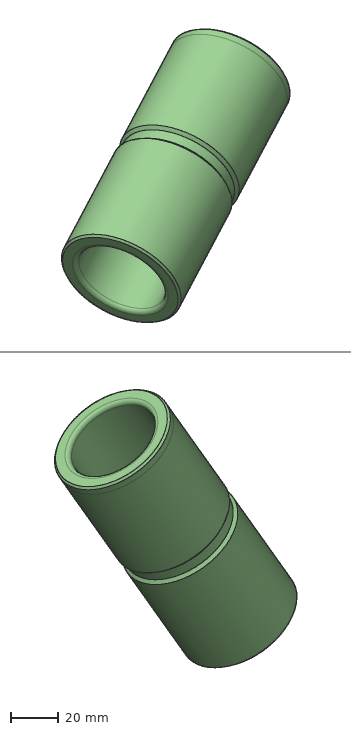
import cadquery as cq
import math

length = 120.0
outer_diameter = 55.0
bore_diameter = 40.0
bore_rounding = 2.0
end_chamfer = 1.0
groove_floor_width = 4.8
groove_depth = 1.5
end_band_width = 4.0

outer_radius = outer_diameter / 2
bore_radius = bore_diameter / 2
groove_radius = outer_radius - groove_depth
half_length = length / 2
half_floor = groove_floor_width / 2
half_mouth = half_floor + groove_depth
rim_radius = outer_radius - end_chamfer
rim_start = half_length - end_chamfer
entry_radius = bore_radius + bore_rounding
entry_start = half_length - bore_rounding
arc_inset = bore_rounding * (1 - math.sqrt(0.5))
arc_middle_y = half_length - arc_inset
arc_middle_radius = bore_radius + arc_inset


def sleeve_profile():
    """Half section of the wall: (Y, radius), from the -Y end to the +Y end and back."""
    return (
        cq.Workplane("YZ")
        .moveTo(-half_length, entry_radius)
        .lineTo(-half_length, rim_radius)
        .lineTo(-rim_start, outer_radius)
        .lineTo(-half_mouth, outer_radius)
        .lineTo(-half_floor, groove_radius)
        .lineTo(half_floor, groove_radius)
        .lineTo(half_mouth, outer_radius)
        .lineTo(half_length - end_band_width, outer_radius)
        .lineTo(rim_start, outer_radius)
        .lineTo(half_length, rim_radius)
        .lineTo(half_length, entry_radius)
        .threePointArc((arc_middle_y, arc_middle_radius), (entry_start, bore_radius))
        .lineTo(-entry_start, bore_radius)
        .threePointArc((-arc_middle_y, arc_middle_radius), (-half_length, entry_radius))
        .close()
    )


result = sleeve_profile().revolve(360, (0, 0), (1, 0), clean=False)